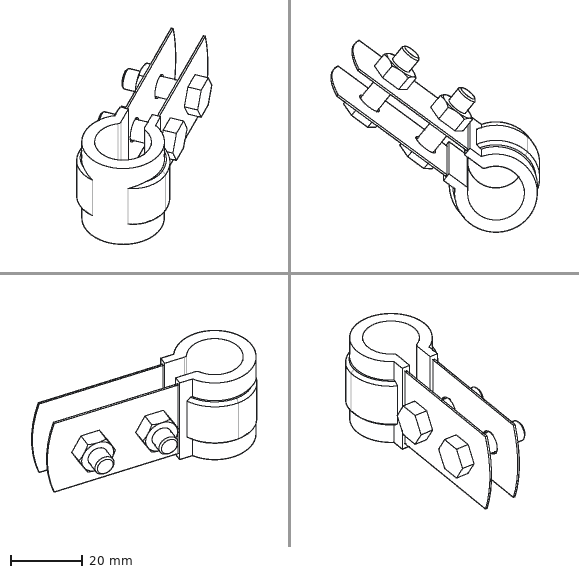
import cadquery as cq
import math


liner_height = 28.0
liner_radius = 11.65
bore_radius = 8.0
leg_spacing = 9.65
lip_thickness = 2.5
lip_end_y = 14.0
lip_corner_radius = 1.0

cheek_radius = 13.2
cheek_tail_radius = 10.5
cheek_tail_start_y = -1.0
cheek_height = 15.1
cheek_chamfer = 1.0

strap_thickness = 0.6
strap_width = 25.0
strap_end_y = 54.9
strap_end_bulge = 2.1
strap_bend_radius = (liner_radius + bore_radius) / 2
strap_hole_diameter = 7.0

bolt_diameter = 6.0
bolt_tip_diameter = 4.9
bolt_length = 19.95
head_height = 4.0
hex_across_flats = 10.0
nut_height = 4.8
nut_chamfer_angle = 30.0
bolt_pitch = 20.0
first_bolt_y = 21.5
bolt_positions = [first_bolt_y, first_bolt_y + bolt_pitch]

hex_across_corners = hex_across_flats / math.cos(math.radians(30))
strap_outer_x = (leg_spacing + strap_thickness) / 2


def keyhole(radius, width, end_y, height):
    """Disc with a bar of the given width running from its centre to end_y, centred on Z."""
    disc = cq.Workplane("XY").circle(radius).extrude(height / 2, both=True)
    bar = cq.Workplane("XY").box(width, end_y, height, centered=(True, False, True))
    return disc.union(bar)


def keyhole_band(radius, thickness, end_y, height):
    """Wall of constant thickness along a bend of the given mid radius and the two legs."""
    outer = keyhole(radius + thickness / 2, leg_spacing + thickness, end_y, height)
    inner = keyhole(radius - thickness / 2, leg_spacing - thickness, end_y, height)
    return outer.cut(inner)


def hexagon_prism(start_x, height):
    """Hexagonal prism along +X with two corners in the Y direction."""
    return (
        cq.Workplane("YZ", origin=(start_x, 0, 0))
        .polygon(6, hex_across_corners)
        .extrude(height)
    )


def x_cylinder(start_x, length, diameter):
    """Cylinder along +X, centred on the X axis."""
    return cq.Workplane("YZ", origin=(start_x, 0, 0)).circle(diameter / 2).extrude(length)


def on_circle(center, radius, angle):
    """Point of a circle in the XY plane at the given angle from +X."""
    return (center[0] + radius * math.cos(angle), center[1] + radius * math.sin(angle))


def make_cheek():
    """Cheek on the +X side, closed by a straight chord that lies inside the liner or its openings."""
    axis = (0, 0)
    top_angle = math.acos(leg_spacing / 2 / cheek_radius)
    joint_angle = math.asin(cheek_tail_start_y / cheek_radius)
    tail_center = on_circle(axis, cheek_radius - cheek_tail_radius, joint_angle)
    tail_end_angle = -math.pi / 2

    outline = (
        cq.Workplane("XY")
        .moveTo(*on_circle(axis, cheek_radius, top_angle))
        .threePointArc(
            on_circle(axis, cheek_radius, (top_angle + joint_angle) / 2),
            on_circle(axis, cheek_radius, joint_angle),
        )
        .threePointArc(
            on_circle(tail_center, cheek_tail_radius, (joint_angle + tail_end_angle) / 2),
            on_circle(tail_center, cheek_tail_radius, tail_end_angle),
        )
        .close()
    )
    cheek = outline.extrude(cheek_height / 2, both=True)
    return cheek.faces("|Z").edges("%CIRCLE").chamfer(cheek_chamfer)


def make_strap_blank():
    """Bent strap with rounded ends, before its bolt holes are made."""
    blank = keyhole_band(strap_bend_radius, strap_thickness, strap_end_y, strap_width)
    end_radius = ((strap_width / 2) ** 2 + strap_end_bulge ** 2) / (2 * strap_end_bulge)
    rounded_end = (
        cq.Workplane("YZ")
        .center(strap_end_y - end_radius, 0)
        .circle(end_radius)
        .extrude(liner_radius, both=True)
    )
    return blank.intersect(rounded_end)


def make_strap():
    strap = make_strap_blank()
    for y in bolt_positions:
        hole = x_cylinder(-strap_outer_x, 2 * strap_outer_x, strap_hole_diameter)
        strap = strap.cut(hole.translate((0, y, 0)))
    return strap


def make_liner():
    """Soft ring with two lips and two cheeks, hollow where the strap runs through it."""
    cheek = make_cheek()
    mouth_width = leg_spacing - lip_thickness
    bore = keyhole(bore_radius, mouth_width, lip_end_y, liner_height)
    solid_liner = (
        keyhole(liner_radius, leg_spacing + lip_thickness, lip_end_y, liner_height)
        .union(cheek)
        .union(cheek.mirror("YZ"))
        .cut(bore)
    )
    corner_x = mouth_width / 2
    corner_y = math.sqrt(bore_radius ** 2 - corner_x ** 2)
    for x in (-corner_x, corner_x):
        lip_corner = cq.selectors.NearestToPointSelector((x, corner_y, 0))
        solid_liner = solid_liner.edges("|Z").edges(lip_corner).fillet(lip_corner_radius)
    return solid_liner.cut(make_strap_blank())


def make_bolt(y):
    """Hexagon bolt with its head on the +X leg and a chamfered tip on the -X side."""
    tip_chamfer = (bolt_diameter - bolt_tip_diameter) / 2
    shank = x_cylinder(strap_outer_x - bolt_length, bolt_length, bolt_diameter)
    shank = shank.faces("<X").chamfer(tip_chamfer)
    head = hexagon_prism(strap_outer_x, head_height)
    return shank.union(head).translate((0, y, 0))


def make_nut(y):
    """Hexagon nut on the -X leg, its corners bevelled on the outer face only."""
    outer_x = -strap_outer_x - nut_height
    bevel_radial = (hex_across_corners - hex_across_flats) / 2
    bevel_axial = bevel_radial * math.tan(math.radians(nut_chamfer_angle))
    bevelled = x_cylinder(outer_x, nut_height, hex_across_corners)
    bevelled = bevelled.faces("<X").chamfer(bevel_axial, bevel_radial)
    nut = hexagon_prism(outer_x, nut_height).intersect(bevelled)
    thread_hole = x_cylinder(outer_x, nut_height, bolt_diameter)
    return nut.cut(thread_hole).translate((0, y, 0))


liner = make_liner()
strap = make_strap()
bolts = [make_bolt(y) for y in bolt_positions]
nuts = [make_nut(y) for y in bolt_positions]

result = cq.Compound.makeCompound(
    [liner.val(), strap.val()]
    + [bolt.val() for bolt in bolts]
    + [nut.val() for nut in nuts]
)